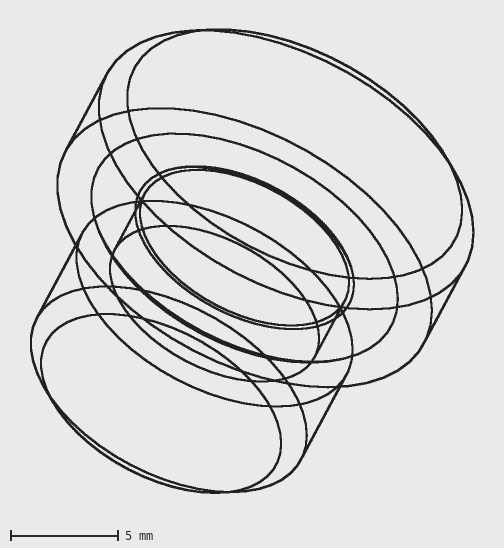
import cadquery as cq

head_diameter = 19.0
total_length = 16.0
head_thickness = 6.0
head_chamfer = 1.0
neck_diameter = 10.6
plug_diameter = 14.0
plug_length = 6.4
plug_chamfer = 0.91
bead_diameter = 15.55
bead_height = 0.6
bead_gap = 0.25

head_radius = head_diameter / 2
neck_radius = neck_diameter / 2
plug_radius = plug_diameter / 2
bead_radius = bead_diameter / 2

head_underside = total_length - head_thickness
bead_crest = head_underside - bead_height
bead_inner_radius = neck_radius + bead_gap
bead_middle_radius = (bead_inner_radius + bead_radius) / 2

profile = (
    cq.Workplane("XY")
    .moveTo(0, 0)
    .lineTo(plug_radius - plug_chamfer, 0)
    .lineTo(plug_radius, plug_chamfer)
    .lineTo(plug_radius, plug_length)
    .lineTo(neck_radius, plug_length)
    .lineTo(neck_radius, head_underside)
    .lineTo(bead_inner_radius, head_underside)
    .threePointArc((bead_middle_radius, bead_crest), (bead_radius, head_underside))
    .lineTo(head_radius, head_underside)
    .lineTo(head_radius, total_length - head_chamfer)
    .lineTo(head_radius - head_chamfer, total_length)
    .lineTo(0, total_length)
    .close()
)

result = profile.revolve(360, (0, 0, 0), (0, 1, 0))